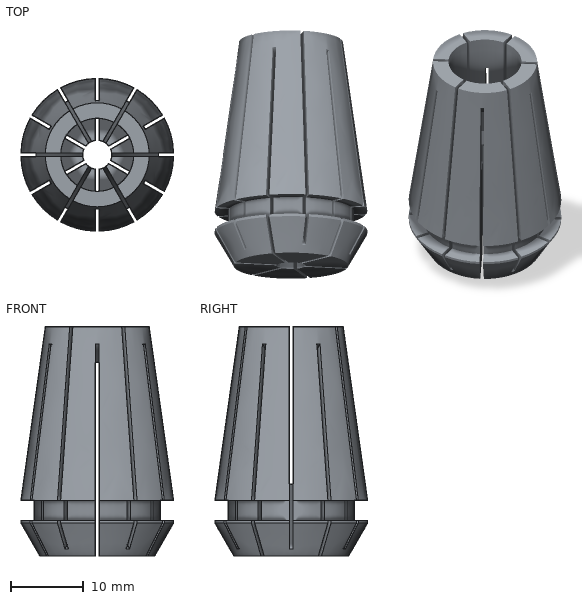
import cadquery as cq
import math


LENGTH = 31.5
MAX_RADIUS = 10.5

TAPER_ANGLE = 8.0
TAPER_BOTTOM_Z = 7.65
TOP_RADIUS = MAX_RADIUS - (LENGTH - TAPER_BOTTOM_Z) * math.tan(math.radians(TAPER_ANGLE))

GROOVE_RADIUS = 8.65
GROOVE_BOTTOM_Z = 4.88
RIM_HEIGHT = 0.35
RIM_BOTTOM_Z = GROOVE_BOTTOM_Z - RIM_HEIGHT
HEAD_ANGLE = 30.0
BOTTOM_RADIUS = MAX_RADIUS - RIM_BOTTOM_Z * math.tan(math.radians(HEAD_ANGLE))

GRIP_RADIUS = 2.0
BORE_RADIUS = 5.0
BORE_FLOOR_Z = 15.75

CUTS_PER_END = 6
CUT_PITCH = 360.0 / CUTS_PER_END
CUT_WIDTH = 0.5
BLADE_RADIUS = 18.9
BLADE_CENTRE_RADIUS = 19.85
TOP_CUT_START_Z = 16.05
BOTTOM_CUT_START_Z = 14.87


def make_body():
    """Revolve the outer profile about the Z axis."""
    outline = [
        (0, 0),
        (BOTTOM_RADIUS, 0),
        (MAX_RADIUS, RIM_BOTTOM_Z),
        (MAX_RADIUS, GROOVE_BOTTOM_Z),
        (GROOVE_RADIUS, GROOVE_BOTTOM_Z),
        (GROOVE_RADIUS, TAPER_BOTTOM_Z),
        (MAX_RADIUS, TAPER_BOTTOM_Z),
        (TOP_RADIUS, LENGTH),
        (0, LENGTH),
    ]
    return cq.Workplane("XZ").polyline(outline).close().revolve(360, (0, 0), (0, 1))


def make_holes():
    """Grip hole through the full length, widened to a larger bore from the top."""
    grip_hole = cq.Workplane("XY").circle(GRIP_RADIUS).extrude(LENGTH)
    bore_depth = LENGTH - BORE_FLOOR_Z
    bore = cq.Workplane("XY", origin=(0, 0, BORE_FLOOR_Z)).circle(BORE_RADIUS).extrude(bore_depth)
    return grip_hole.union(bore)


def make_saw_cut(start_z, end_z, angle):
    """Space swept by the blade moving along Z from start_z to end_z, on the side given by angle."""
    inner = BLADE_CENTRE_RADIUS - BLADE_RADIUS
    outer = BLADE_CENTRE_RADIUS + BLADE_RADIUS
    arc_z = start_z - math.copysign(BLADE_RADIUS, end_z - start_z)
    return (
        cq.Workplane("XZ")
        .moveTo(inner, end_z)
        .lineTo(inner, start_z)
        .threePointArc((BLADE_CENTRE_RADIUS, arc_z), (outer, start_z))
        .lineTo(outer, end_z)
        .close()
        .extrude(CUT_WIDTH / 2, both=True)
        .rotate((0, 0, 0), (0, 0, 1), angle)
    )


result = make_body().cut(make_holes())

for index in range(CUTS_PER_END):
    top_cut_angle = index * CUT_PITCH
    bottom_cut_angle = top_cut_angle + CUT_PITCH / 2
    result = result.cut(make_saw_cut(TOP_CUT_START_Z, LENGTH, top_cut_angle))
    result = result.cut(make_saw_cut(BOTTOM_CUT_START_Z, 0, bottom_cut_angle))